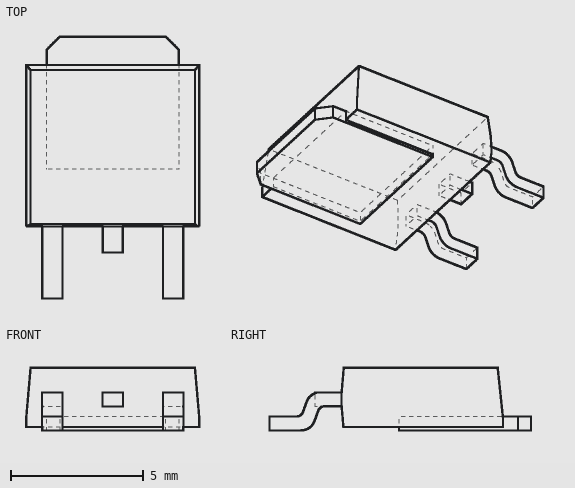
import cadquery as cq
import math

housing_width = 6.54
housing_length = 6.10
package_height = 2.38
standoff = 0.127
side_draft = math.radians(5)
back_draft = math.radians(6)
front_draft = math.radians(5)

metal_thickness = 0.535
lead_underside = 0.91
lead_top = lead_underside + metal_thickness

tab_width = 5.00
tab_length = 5.00
tab_overhang = 1.07
tab_chamfer = 0.50

lead_width = 0.77
lead_pitch = 4.56
lead_reach = 2.73
shoulder_reach = 1.19
lead_slope = math.radians(70)
inner_bend_radius = 0.24
outer_bend_radius = 0.54
stub_reach = 1.00

front_face = -housing_length / 2
back_face = housing_length / 2


def make_tab():
    """Flat heat tab with its two rear corners cut off."""
    rear_edge = back_face + tab_overhang
    return (
        cq.Workplane("XY")
        .center(0, rear_edge - tab_length / 2)
        .rect(tab_width, tab_length)
        .extrude(metal_thickness)
        .edges("|Z and >Y")
        .chamfer(tab_chamfer)
    )


def make_housing(tab):
    """Block drafted on all sides, with a recess for the tab in its underside."""
    drafted_height = package_height - metal_thickness
    side_inset = drafted_height * math.tan(side_draft)
    back_inset = drafted_height * math.tan(back_draft)
    front_top_inset = (package_height - lead_top) * math.tan(front_draft)
    front_bottom_inset = (lead_underside - standoff) * math.tan(front_draft)
    half_width = housing_width / 2

    side_profile = (
        cq.Workplane("YZ")
        .moveTo(front_face + front_bottom_inset, standoff)
        .lineTo(back_face, standoff)
        .lineTo(back_face, metal_thickness)
        .lineTo(back_face - back_inset, package_height)
        .lineTo(front_face + front_top_inset, package_height)
        .lineTo(front_face, lead_top)
        .lineTo(front_face, lead_underside)
        .close()
        .extrude(half_width, both=True)
    )
    front_profile = (
        cq.Workplane("XZ")
        .moveTo(-half_width, standoff)
        .lineTo(half_width, standoff)
        .lineTo(half_width, metal_thickness)
        .lineTo(half_width - side_inset, package_height)
        .lineTo(side_inset - half_width, package_height)
        .lineTo(-half_width, metal_thickness)
        .close()
        .extrude(housing_length, both=True)
    )
    return side_profile.intersect(front_profile).cut(tab)


def make_lead(x_center):
    """Gull-wing lead, bent down from the front face to the soldering plane."""
    slope_run = lead_underside / math.tan(lead_slope)
    corner_shift = metal_thickness * math.tan(lead_slope / 2)
    tip = front_face - lead_reach
    upper_outer = (front_face - shoulder_reach, lead_top)
    lower_inner = (upper_outer[0] - slope_run, metal_thickness)
    upper_inner = (upper_outer[0] + corner_shift, lead_underside)
    lower_outer = (upper_inner[0] - slope_run, 0)

    lead = (
        cq.Workplane("YZ")
        .polyline([
            (front_face, lead_top),
            upper_outer,
            lower_inner,
            (tip, metal_thickness),
            (tip, 0),
            lower_outer,
            upper_inner,
            (front_face, lead_underside),
        ])
        .close()
        .extrude(lead_width / 2, both=True)
    )
    bends = [
        (upper_outer, outer_bend_radius),
        (lower_outer, outer_bend_radius),
        (upper_inner, inner_bend_radius),
        (lower_inner, inner_bend_radius),
    ]
    for (y, z), radius in bends:
        bend_edge = cq.selectors.NearestToPointSelector((0, y, z))
        lead = lead.edges("|X").edges(bend_edge).fillet(radius)
    return lead.translate((x_center, 0, 0))


def make_stub():
    """Straight centre stub, ending a short way in front of the housing."""
    return (
        cq.Workplane("XZ", origin=(0, front_face, 0))
        .center(0, (lead_underside + lead_top) / 2)
        .rect(lead_width, metal_thickness)
        .extrude(stub_reach)
    )


tab = make_tab()
housing = make_housing(tab)
leads = [make_lead(side * lead_pitch / 2) for side in (-1, 1)]
stub = make_stub()

result = cq.Compound.makeCompound([
    housing.val(),
    tab.val(),
    *[lead.val() for lead in leads],
    stub.val(),
])